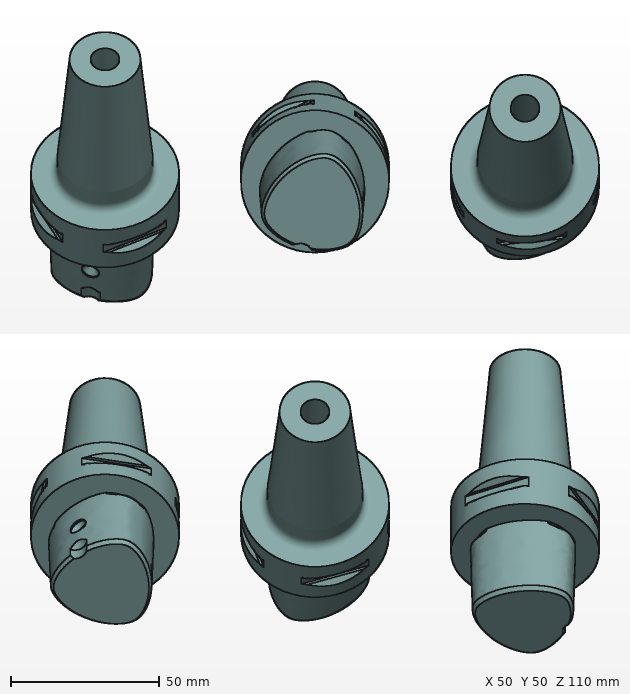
import cadquery as cq
import math

total_height = 110.0
flange_bottom = 30.0
flange_height = 19.9
flange_top = flange_bottom + flange_height
flange_radius = 25.02

nose_fillet = 3.0
nose_radius = 16.1
nose_tip_radius = 12.0
nose_cone_bottom = 59.2
bore_radius = 4.8
bore_depth = 39.6

shank_radius = 17.7
lobe_height = 1.3
straight_band = 3.0
taper_slope = 1 / 40
end_chamfer_height = 1.6
end_chamfer_inset = 1.0

relief_radius = 17.7
relief_land = 0.4
relief_fillet = 1.3
relief_cutter_radius = 22.0

groove_count = 4
groove_first_angle = 45.0
groove_floor_distance = 22.0
groove_flare_distance = 22.9
groove_floor_half_height = 2.0
groove_rim_half_height = 3.35
groove_length = 33.0

dimple_radius = 3.1
dimple_height = 16.2
dimple_wall_depth = 0.5
keyway_radius = 4.1
keyway_axis_distance = 17.8
keyway_wall_height = 5.3


def lobed_section(mean_radius, z):
    """Closed three-lobed curve with one lobe on +Y, at height z."""
    def point(t):
        support = mean_radius - lobe_height * math.sin(3 * t)
        slope = -3 * lobe_height * math.cos(3 * t)
        x = support * math.cos(t) - slope * math.sin(t)
        y = support * math.sin(t) + slope * math.cos(t)
        return (x, y, z)

    samples = 72
    points = [point(2 * math.pi * i / samples) for i in range(samples)]
    edge = cq.Edge.makeSpline([cq.Vector(*p) for p in points], periodic=True)
    return cq.Wire.assembleEdges([edge])


def make_shank():
    band_bottom = flange_bottom - straight_band
    end_radius = shank_radius - taper_slope * (band_bottom - end_chamfer_height)
    levels = [
        (end_radius - end_chamfer_inset, 0.0),
        (end_radius, end_chamfer_height),
        (shank_radius, band_bottom),
        (shank_radius, flange_bottom),
    ]
    sections = [lobed_section(radius, z) for radius, z in levels]
    return cq.Workplane(cq.Solid.makeLoft(sections, True))


def make_relief():
    """Ring that trims the lobe crests, with a rounded lower corner."""
    land_bottom = flange_bottom - relief_land
    floor = land_bottom - relief_fillet
    arc_middle = relief_fillet * math.sqrt(0.5)
    arc_center_radius = relief_radius + relief_fillet
    return (
        cq.Workplane("XZ")
        .moveTo(relief_radius, flange_bottom)
        .lineTo(relief_cutter_radius, flange_bottom)
        .lineTo(relief_cutter_radius, floor)
        .lineTo(arc_center_radius, floor)
        .threePointArc(
            (arc_center_radius - arc_middle, land_bottom - arc_middle),
            (relief_radius, land_bottom),
        )
        .close()
        .revolve(360, (0, 0, 0), (0, 1, 0))
    )


def make_flange_and_nose():
    fillet_offset = nose_fillet * (1 - math.sqrt(0.5))
    return (
        cq.Workplane("XZ")
        .moveTo(0, flange_bottom)
        .lineTo(flange_radius, flange_bottom)
        .lineTo(flange_radius, flange_top)
        .lineTo(nose_radius + nose_fillet, flange_top)
        .threePointArc(
            (nose_radius + fillet_offset, flange_top + fillet_offset),
            (nose_radius, flange_top + nose_fillet),
        )
        .lineTo(nose_radius, nose_cone_bottom)
        .lineTo(nose_tip_radius, total_height)
        .lineTo(0, total_height)
        .close()
        .revolve(360, (0, 0, 0), (0, 1, 0))
    )


def make_bore():
    return cq.Workplane("XY", origin=(0, 0, total_height)).circle(bore_radius).extrude(-bore_depth)


def make_groove(angle):
    """Flat-bottomed groove with walls that start straight and then flare, facing the given angle."""
    return (
        cq.Workplane("XZ", origin=(0, groove_length / 2, flange_bottom + flange_height / 2))
        .moveTo(groove_floor_distance, -groove_floor_half_height)
        .lineTo(groove_flare_distance, -groove_floor_half_height)
        .lineTo(flange_radius, -groove_rim_half_height)
        .lineTo(flange_radius, groove_rim_half_height)
        .lineTo(groove_flare_distance, groove_floor_half_height)
        .lineTo(groove_floor_distance, groove_floor_half_height)
        .close()
        .extrude(groove_length)
        .rotate((0, 0, 0), (0, 0, 1), angle)
    )


def make_dimple():
    """Short round hole in the tapered flat, ending in a 90 degree cone."""
    taper_drop = taper_slope * (flange_bottom - straight_band - dimple_height)
    flat_distance = shank_radius - lobe_height - taper_drop
    cone_rim = dimple_wall_depth - flat_distance
    return (
        cq.Workplane("XY")
        .moveTo(0, -flange_radius)
        .lineTo(dimple_radius, -flange_radius)
        .lineTo(dimple_radius, cone_rim)
        .lineTo(0, cone_rim + dimple_radius)
        .close()
        .revolve(360, (0, 0, 0), (0, 1, 0))
        .translate((0, 0, dimple_height))
    )


def make_keyway():
    """Upright round keyway open at the shank end, with a 45 degree conical top."""
    return (
        cq.Workplane("XZ")
        .lineTo(keyway_radius, 0)
        .lineTo(keyway_radius, keyway_wall_height)
        .lineTo(0, keyway_wall_height + keyway_radius)
        .close()
        .revolve(360, (0, 0, 0), (0, 1, 0))
        .translate((0, -keyway_axis_distance, 0))
    )


shank = make_shank().cut(make_relief()).cut(make_dimple()).cut(make_keyway())
result = make_flange_and_nose().union(shank).cut(make_bore())
for index in range(groove_count):
    result = result.cut(make_groove(groove_first_angle + index * 360 / groove_count))